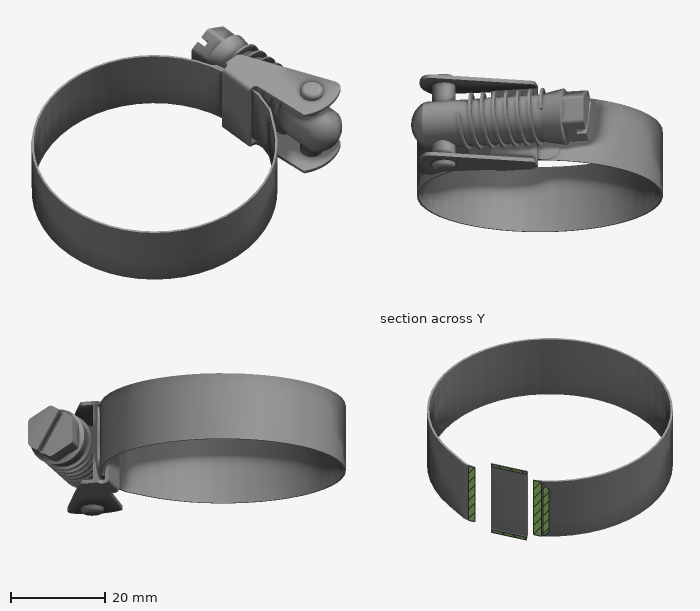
import cadquery as cq
import math

BAND_DIAMETER = 52.1
BAND_THICKNESS = 0.45
BAND_WIDTH = 14.3
LAYER_GAP = 0.05
BAND_END_X = 3.25
TAIL_TIP_ANGLE = 20.3
TAIL_MIDDLE_ANGLE = 15.0
TAIL_CORNER_RADIUS = 2.6
LEAVE_RING_ANGLE = 35.0
RISE_LENGTH = 5.8
KINK_INNER_RADIUS = 1.1

SHEET = 0.8
BRACKET_WIDTH = 17.95
CROSSBAR_TOP_Y = 27.2
CROSSBAR_THICKNESS = 1.0
CROSSBAR_HALF_LENGTH = 5.0
NOTCH_RADIUS = 1.0
BASE_BOTTOM_Y = 24.05
BEND_INNER_RADIUS = 0.25
ARM_HEEL_Y = 30.0
ARM_HEEL_RADIUS = 1.0
ARM_PEAK = (16.5, 39.4)
ARM_PEAK_RADIUS = 1.9
ARM_NOSE_X = 19.05
ARM_TOE = (17.5, 27.25)
ARM_TOE_RADIUS = 0.4

SCREW_Y = 32.95
SCREW_Z = -0.3
SCREW_OUTER_DIAMETER = 12.0
HEX_START_X = -17.2
HEX_ACROSS_FLATS = 9.8
HEX_CORNER_RADIUS = 1.0
SLOT_WIDTH = 1.25
SLOT_DEPTH = 2.1
SLOT_ANGLE = 120.0
COLLAR_START_X = -12.7
COLLAR_RIM_X = -12.3
COLLAR_END_X = -8.1
COLLAR_BACK_RADIUS = 5.1
COLLAR_END_RADIUS = 5.2
CORE_RADIUS = 4.95
SCREW_END_X = 10.1
THREAD_Z = 0.0
THREAD_TURNS = 7
THREAD_START_X = -8.2
THREAD_END_X = 9.75
THREAD_CREST = 0.5
THREAD_ROOT = 0.65
THREAD_EMBED = 0.65
THREAD_CLEARANCE = 0.05

DOME_START_X = 17.7
DOME_END_X = 20.95

PIN_X = 14.0
PIN_DIAMETER = 4.95
PIN_LENGTH = 20.6
PIN_EDGE_RADIUS = 1.0

BAND_RADIUS = BAND_DIAMETER / 2
SCREW_OUTER_RADIUS = SCREW_OUTER_DIAMETER / 2
ARM_INNER_Z = BRACKET_WIDTH / 2 - SHEET
CROSSBAR_BOTTOM_Y = CROSSBAR_TOP_Y - CROSSBAR_THICKNESS
BASE_HALF_LENGTH = CROSSBAR_HALF_LENGTH - NOTCH_RADIUS


def polar(radius, angle):
    """Point on a circle about the ring axis, angle in degrees from +Y towards +X."""
    turn = math.radians(angle)
    return (radius * math.sin(turn), radius * math.cos(turn))


def left_of_axis(radius, height):
    """Point at a given Y on the -X side of a circle about the ring axis."""
    return (-math.sqrt(radius**2 - height**2), height)


def make_band():
    tail_y = CROSSBAR_BOTTOM_Y - LAYER_GAP
    layer_pitch = BAND_THICKNESS + LAYER_GAP

    def strip_face(depth):
        """Corner points of the strip face lying at a depth below its outer face."""
        ring = BAND_RADIUS - depth
        tail_ring = ring + layer_pitch
        under = tail_y - layer_pitch - depth
        over = tail_y - depth
        leave = polar(ring, LEAVE_RING_ANGLE)
        rise = polar(RISE_LENGTH, LEAVE_RING_ANGLE - 90)
        return {
            "end": (BAND_END_X, under),
            "ring_start": left_of_axis(ring, under),
            "ring_bottom": (0, -ring),
            "leave": leave,
            "kink": (leave[0] + rise[0], leave[1] + rise[1]),
            "flat": (CROSSBAR_HALF_LENGTH, over),
            "tail_start": left_of_axis(tail_ring, over),
            "tail_middle": polar(tail_ring, -TAIL_MIDDLE_ANGLE),
            "tail_tip": polar(tail_ring, -TAIL_TIP_ANGLE),
        }

    outer = strip_face(0)
    inner = strip_face(BAND_THICKNESS)
    band = (
        cq.Workplane("XY", origin=(0, 0, -BAND_WIDTH / 2))
        .moveTo(*outer["end"])
        .lineTo(*outer["ring_start"])
        .threePointArc(outer["ring_bottom"], outer["leave"])
        .lineTo(*outer["kink"])
        .lineTo(*outer["flat"])
        .lineTo(*outer["tail_start"])
        .threePointArc(outer["tail_middle"], outer["tail_tip"])
        .lineTo(*inner["tail_tip"])
        .threePointArc(inner["tail_middle"], inner["tail_start"])
        .lineTo(*inner["flat"])
        .lineTo(*inner["kink"])
        .lineTo(*inner["leave"])
        .threePointArc(inner["ring_bottom"], inner["ring_start"])
        .lineTo(*inner["end"])
        .close()
        .extrude(BAND_WIDTH)
    )
    for face, radius in ((outer, KINK_INNER_RADIUS + BAND_THICKNESS), (inner, KINK_INNER_RADIUS)):
        bend = cq.selectors.NearestToPointSelector((*face["kink"], 0))
        band = band.edges("|Z").edges(bend).fillet(radius)

    tip_x, tip_y = [(a + b) / 2 for a, b in zip(outer["tail_tip"], inner["tail_tip"])]
    for z in (-BAND_WIDTH / 2, BAND_WIDTH / 2):
        tip_corner = cq.selectors.NearestToPointSelector((tip_x, tip_y, z))
        band = band.edges(tip_corner).fillet(TAIL_CORNER_RADIUS)
    return band


def make_arm():
    """Flat arm, its lower face on Z = 0."""
    notch_y = CROSSBAR_BOTTOM_Y - NOTCH_RADIUS
    notch_middle_x = CROSSBAR_HALF_LENGTH - NOTCH_RADIUS * math.sqrt(0.5)
    notch_middle_y = notch_y + NOTCH_RADIUS * math.sqrt(0.5)
    arm = (
        cq.Workplane("XY")
        .moveTo(-CROSSBAR_HALF_LENGTH, ARM_HEEL_Y)
        .lineTo(*ARM_PEAK)
        .threePointArc((ARM_NOSE_X, SCREW_Y), ARM_TOE)
        .lineTo(CROSSBAR_HALF_LENGTH, CROSSBAR_BOTTOM_Y)
        .threePointArc((notch_middle_x, notch_middle_y), (BASE_HALF_LENGTH, notch_y))
        .lineTo(BASE_HALF_LENGTH, BASE_BOTTOM_Y)
        .lineTo(-BASE_HALF_LENGTH, BASE_BOTTOM_Y)
        .lineTo(-BASE_HALF_LENGTH, notch_y)
        .threePointArc((-notch_middle_x, notch_middle_y), (-CROSSBAR_HALF_LENGTH, CROSSBAR_BOTTOM_Y))
        .close()
        .extrude(SHEET)
    )
    rounded_corners = (
        ((-CROSSBAR_HALF_LENGTH, ARM_HEEL_Y), ARM_HEEL_RADIUS),
        (ARM_PEAK, ARM_PEAK_RADIUS),
        (ARM_TOE, ARM_TOE_RADIUS),
    )
    for (x, y), radius in rounded_corners:
        corner = cq.selectors.NearestToPointSelector((x, y, SHEET / 2))
        arm = arm.edges("|Z").edges(corner).fillet(radius)
    pin_hole = cq.Workplane("XY").center(PIN_X, SCREW_Y).circle(PIN_DIAMETER / 2).extrude(SHEET)
    return arm.cut(pin_hole)


def make_bracket():
    base = cq.Workplane("XY").box(2 * BASE_HALF_LENGTH, SHEET, BRACKET_WIDTH)
    bracket = base.translate((0, BASE_BOTTOM_Y + SHEET / 2, 0))
    arm = make_arm()
    for arm_z in (ARM_INNER_Z, -BRACKET_WIDTH / 2):
        bracket = bracket.union(arm.translate((0, 0, arm_z)))

    bracket = bracket.edges("|X and <Y").fillet(BEND_INNER_RADIUS + SHEET)
    for z in (-ARM_INNER_Z, ARM_INNER_Z):
        inner_bend = cq.selectors.NearestToPointSelector((0, BASE_BOTTOM_Y + SHEET, z))
        bracket = bracket.edges("|X").edges(inner_bend).fillet(BEND_INNER_RADIUS)

    crossbar = cq.Workplane("XY").box(2 * CROSSBAR_HALF_LENGTH, CROSSBAR_THICKNESS, 2 * ARM_INNER_Z)
    crossbar = crossbar.translate((0, CROSSBAR_BOTTOM_Y + CROSSBAR_THICKNESS / 2, 0))
    thread_envelope = (
        cq.Workplane("YZ", origin=(-CROSSBAR_HALF_LENGTH, SCREW_Y, THREAD_Z))
        .circle(SCREW_OUTER_RADIUS + THREAD_CLEARANCE)
        .extrude(2 * CROSSBAR_HALF_LENGTH)
    )
    return bracket.union(crossbar.cut(thread_envelope))


def make_pin():
    return (
        cq.Workplane("XY", origin=(PIN_X, SCREW_Y, -PIN_LENGTH / 2))
        .circle(PIN_DIAMETER / 2)
        .extrude(PIN_LENGTH)
        .faces("<Z or >Z")
        .edges()
        .fillet(PIN_EDGE_RADIUS)
    )


def make_thread():
    """Helical ridge about the X axis, starting on the +Y side."""
    root_radius = CORE_RADIUS - THREAD_EMBED
    length = THREAD_END_X - THREAD_START_X
    helix = cq.Wire.makeHelix(length / THREAD_TURNS, length, root_radius)
    ridge = (
        cq.Workplane("XZ")
        .polyline([
            (root_radius, -THREAD_ROOT / 2),
            (SCREW_OUTER_RADIUS, -THREAD_CREST / 2),
            (SCREW_OUTER_RADIUS, THREAD_CREST / 2),
            (root_radius, THREAD_ROOT / 2),
        ])
        .close()
        .sweep(cq.Workplane(helix), isFrenet=True)
    )
    ridge = ridge.rotate((0, 0, 0), (1, 1, 1), 120)
    return ridge.translate((THREAD_START_X, 0, THREAD_Z - SCREW_Z))


def make_screw():
    body = (
        cq.Workplane("XY")
        .moveTo(COLLAR_START_X, 0)
        .lineTo(COLLAR_START_X, COLLAR_BACK_RADIUS)
        .lineTo(COLLAR_RIM_X, SCREW_OUTER_RADIUS)
        .lineTo(COLLAR_END_X, COLLAR_END_RADIUS)
        .lineTo(COLLAR_END_X, CORE_RADIUS)
        .lineTo(SCREW_END_X, CORE_RADIUS)
        .lineTo(SCREW_END_X, 0)
        .close()
        .revolve(360, (0, 0, 0), (1, 0, 0))
    )
    hex_head = (
        cq.Workplane("YZ", origin=(HEX_START_X, 0, 0))
        .polygon(6, HEX_ACROSS_FLATS, circumscribed=True)
        .extrude(COLLAR_RIM_X - HEX_START_X)
        .edges("|X")
        .fillet(HEX_CORNER_RADIUS)
    )
    slot = (
        cq.Workplane("YZ", origin=(HEX_START_X, 0, 0))
        .transformed(rotate=(0, 0, SLOT_ANGLE))
        .rect(2 * HEX_ACROSS_FLATS, SLOT_WIDTH)
        .extrude(SLOT_DEPTH)
    )
    screw = body.union(hex_head).cut(slot).union(make_thread())
    return screw.translate((0, SCREW_Y, SCREW_Z))


def make_trunnion(pin):
    dome_length = DOME_END_X - DOME_START_X
    dome_radius = (CORE_RADIUS**2 + dome_length**2) / (2 * dome_length)
    dome_middle_r = CORE_RADIUS / 2
    dome_middle_x = DOME_END_X - dome_radius + math.sqrt(dome_radius**2 - dome_middle_r**2)
    trunnion = (
        cq.Workplane("XY")
        .moveTo(SCREW_END_X, 0)
        .lineTo(SCREW_END_X, CORE_RADIUS)
        .lineTo(DOME_START_X, CORE_RADIUS)
        .threePointArc((dome_middle_x, dome_middle_r), (DOME_END_X, 0))
        .close()
        .revolve(360, (0, 0, 0), (1, 0, 0))
    )
    return trunnion.translate((0, SCREW_Y, SCREW_Z)).cut(pin)


band = make_band()
bracket = make_bracket()
pin = make_pin()
screw = make_screw()
trunnion = make_trunnion(pin)

bodies = [band, bracket, screw, trunnion, pin]
result = cq.Compound.makeCompound([body.solids().val() for body in bodies])